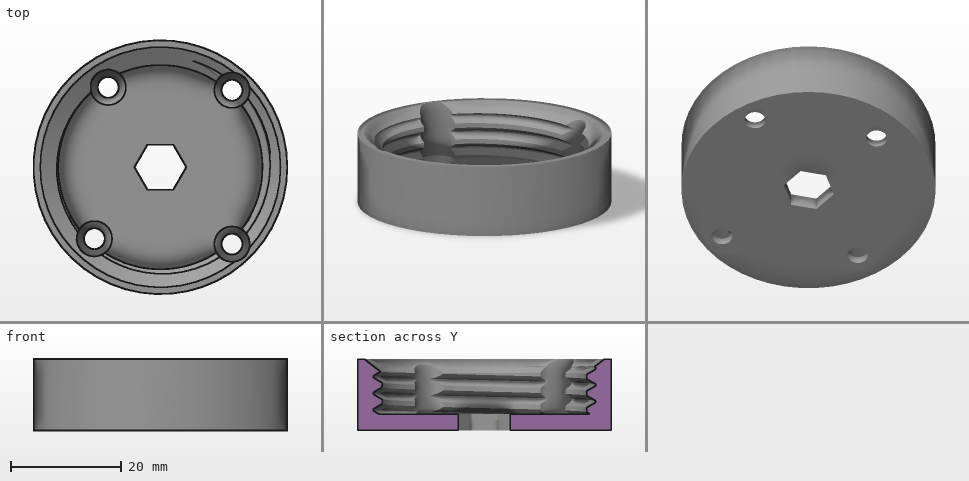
import cadquery as cq
import math

OUTER_DIAMETER = 46.0
HEIGHT = 13.0
FLOOR_THICKNESS = 3.0

PITCH = 3.0
MINOR_RADIUS = 18.5
CREST_FLAT = 0.86
ROOT_FLAT = 0.265
FLANK_ANGLE = 30.0
FLANK_SLOPE = math.tan(math.radians(FLANK_ANGLE))
THREAD_DEPTH = (PITCH - CREST_FLAT - ROOT_FLAT) / (2 * FLANK_SLOPE)
MAJOR_RADIUS = MINOR_RADIUS + THREAD_DEPTH
GROOVE_START_DEPTH = 0.75
BORE_OVERLAP = 0.15

MOUTH_RADIUS = 21.75
LEAD_IN_DEPTH = 2.55

HEX_ACROSS_CORNERS = 9.35

SCREW_DIAMETER = 3.75
SCREW_HEAD_DIAMETER = 6.4
COUNTERSINK_DEPTH = (SCREW_HEAD_DIAMETER - SCREW_DIAMETER) / 2
SCREW_POSITIONS = [(-9.45, 14.45), (12.97, 13.93), (-11.95, -12.95), (12.97, -13.93)]


def cylinder(radius, bottom, top):
    return cq.Workplane("XY").workplane(offset=bottom).circle(radius).extrude(top - bottom)


def thread_groove():
    """Helical groove that runs past the floor and the rim."""
    start = FLOOR_THICKNESS - GROOVE_START_DEPTH - PITCH
    turns = math.ceil((HEIGHT - start) / PITCH) + 1
    inner_radius = MINOR_RADIUS - BORE_OVERLAP
    root_half = ROOT_FLAT / 2
    inner_half = root_half + (MAJOR_RADIUS - inner_radius) * FLANK_SLOPE
    path = cq.Wire.makeHelix(PITCH, turns * PITCH, MINOR_RADIUS).translate(cq.Vector(0, 0, start))
    profile = cq.Workplane("XZ").polyline([
        (inner_radius, start - inner_half),
        (MAJOR_RADIUS, start - root_half),
        (MAJOR_RADIUS, start + root_half),
        (inner_radius, start + inner_half),
    ]).close()
    return profile.sweep(cq.Workplane(path), isFrenet=True)


def threaded_wall():
    """Ring above the floor with the thread cut into its bore."""
    ring = cylinder(OUTER_DIAMETER / 2, FLOOR_THICKNESS, HEIGHT)
    bore = cylinder(MINOR_RADIUS, 0, HEIGHT + FLOOR_THICKNESS)
    return ring.cut(thread_groove()).cut(bore)


def cut_lead_in(body):
    bottom = HEIGHT - LEAD_IN_DEPTH
    cone = cq.Solid.makeCone(MINOR_RADIUS, MOUTH_RADIUS, LEAD_IN_DEPTH, cq.Vector(0, 0, bottom))
    return body.cut(cq.Workplane(cone))


def cut_hex_hole(body):
    hexagon = cq.Workplane("XY").polygon(6, HEX_ACROSS_CORNERS).extrude(FLOOR_THICKNESS)
    return body.cut(hexagon)


def cut_screw_hole(body, x, y):
    place = cq.Vector(x, y, 0)
    shank = cylinder(SCREW_DIAMETER / 2, 0, FLOOR_THICKNESS).translate(place)
    cone_base = cq.Vector(x, y, FLOOR_THICKNESS - COUNTERSINK_DEPTH)
    cone = cq.Solid.makeCone(SCREW_DIAMETER / 2, SCREW_HEAD_DIAMETER / 2, COUNTERSINK_DEPTH, cone_base)
    pocket = cylinder(SCREW_HEAD_DIAMETER / 2, FLOOR_THICKNESS, HEIGHT).translate(place)
    return body.cut(shank).cut(cq.Workplane(cone)).cut(pocket)


wall = cut_lead_in(threaded_wall())
floor = cut_hex_hole(cylinder(OUTER_DIAMETER / 2, 0, FLOOR_THICKNESS))
result = floor.union(wall)
for screw_x, screw_y in SCREW_POSITIONS:
    result = cut_screw_hole(result, screw_x, screw_y)